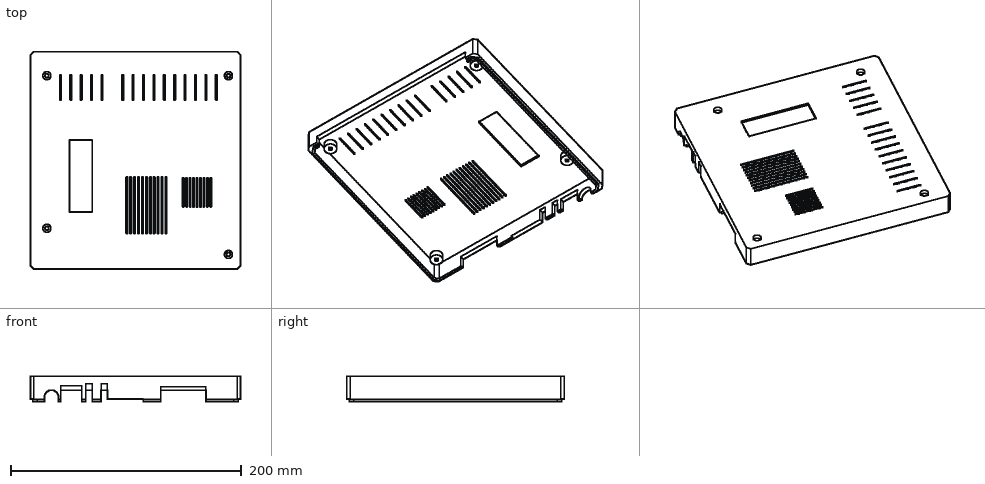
import cadquery as cq

length_x = 182.0
length_y = 188.5
height = 22.0

top_thickness = 2.0
wall_thickness = 4.0
corner_chamfer = 3.0

lip_height = 2.0
lip_inset = 2.0
lip_corner_chamfer = 4.0

boss_diameter = 11.0
boss_drop = 8.0
screw_hole_diameter = 3.2
recess_diameter = 7.0
recess_depth = 3.8
left_screw_x = -76.7
right_screw_x = 80.5
rear_screw_y = 73.3
screw_points = [
    (left_screw_x, rear_screw_y),
    (right_screw_x, rear_screw_y),
    (left_screw_x, -58.8),
    (right_screw_x, -81.5),
]

window_x = 19.5
window_y = 62.0
window_centre = (-47.3, -13.5)

vent_width = 1.0
rear_vents = dict(first_x=-65.0, last_x=70.0, count=16, centre_y=63.1, slot_length=21.9, skipped=(5,))
large_grille = dict(first_x=-7.5, last_x=26.4, count=11, centre_y=-38.8, slot_length=49.0)
small_grille = dict(first_x=41.3, last_x=65.2, count=9, centre_y=-27.7, slot_length=25.0)

front_openings = [
    (-64.7, -46.5, 8.3),
    (-43.0, -37.5, 6.8),
    (-29.8, -24.3, 6.8),
    (22.0, 60.9, 9.0),
]
lip_gap_left = -24.3
lip_gap_right = 6.6
cable_diameter = 12.0
cable_x = -72.8
cable_centre_z = 3.8

rear_opening_x = 159.8
rear_opening_drop = 12.3


def chamfered_block(inset, chamfer, bottom, top):
    """Block inset from the outer walls, with chamfered upright edges."""
    block = (
        cq.Workplane("XY", origin=(0, 0, bottom))
        .rect(length_x - 2 * inset, length_y - 2 * inset)
        .extrude(top - bottom)
    )
    return block.edges("|Z").chamfer(chamfer)


def make_shell():
    """Top plate and walls with the thinner lip along the lower edge."""
    under_top = height - top_thickness
    body = chamfered_block(0, corner_chamfer, lip_height, height)
    lip = chamfered_block(lip_inset, lip_corner_chamfer, 0, under_top)
    cavity = chamfered_block(wall_thickness, corner_chamfer, 0, under_top)
    return body.union(lip).cut(cavity)


def wall_cutter(left, right, top, side):
    """Block open at the bottom that passes through one wall: side -1 is front, 1 is rear."""
    depth = 2 * wall_thickness
    block = cq.Workplane("XY").box(right - left, depth, top, centered=(True, True, False))
    return block.translate(((left + right) / 2, side * (length_y - wall_thickness) / 2, 0))


def cable_cutter():
    """Arched cable entry through the front wall."""
    radius = cable_diameter / 2
    arch = (
        cq.Workplane("XZ", origin=(cable_x, -length_y / 2, cable_centre_z))
        .circle(radius)
        .extrude(2 * wall_thickness, both=True)
    )
    return arch.union(wall_cutter(cable_x - radius, cable_x + radius, cable_centre_z, -1))


def screw_cutter():
    """Recess, 45-degree cone and screw hole, turned about Z with the recess opening at Z = 0."""
    recess_radius = recess_diameter / 2
    hole_radius = screw_hole_diameter / 2
    cone_end = -recess_depth - (recess_radius - hole_radius)
    profile = [
        (0, 0),
        (recess_radius, 0),
        (recess_radius, -recess_depth),
        (hole_radius, cone_end),
        (hole_radius, -2 * boss_drop),
        (0, -2 * boss_drop),
    ]
    return cq.Workplane("XZ").polyline(profile).close().revolve(360, (0, 0, 0), (0, 1, 0))


def cut_vents(part, first_x, last_x, count, centre_y, slot_length, skipped=()):
    """Cut a row of evenly spaced round-ended slots through the top."""
    pitch = (last_x - first_x) / (count - 1)
    points = [(first_x + i * pitch, centre_y) for i in range(count) if i not in skipped]
    slots = (
        cq.Workplane("XY", origin=(0, 0, height))
        .pushPoints(points)
        .slot2D(slot_length, vent_width, 90)
        .extrude(-2 * top_thickness)
    )
    return part.cut(slots)


result = make_shell()

bosses = cq.Workplane("XY", origin=(0, 0, height)).pushPoints(screw_points).circle(boss_diameter / 2)
result = result.union(bosses.extrude(-boss_drop))

for left, right, drop in front_openings:
    result = result.cut(wall_cutter(left, right, height - drop, -1))
result = result.cut(wall_cutter(lip_gap_left, lip_gap_right, lip_height, -1))
result = result.cut(cable_cutter())

result = result.cut(
    wall_cutter(-rear_opening_x / 2, rear_opening_x / 2, height - rear_opening_drop, 1)
)

window = cq.Workplane("XY", origin=(*window_centre, height)).rect(window_x, window_y)
result = result.cut(window.extrude(-2 * top_thickness))

for vents in (rear_vents, large_grille, small_grille):
    result = cut_vents(result, **vents)

for x, y in screw_points:
    result = result.cut(screw_cutter().translate((x, y, height)))